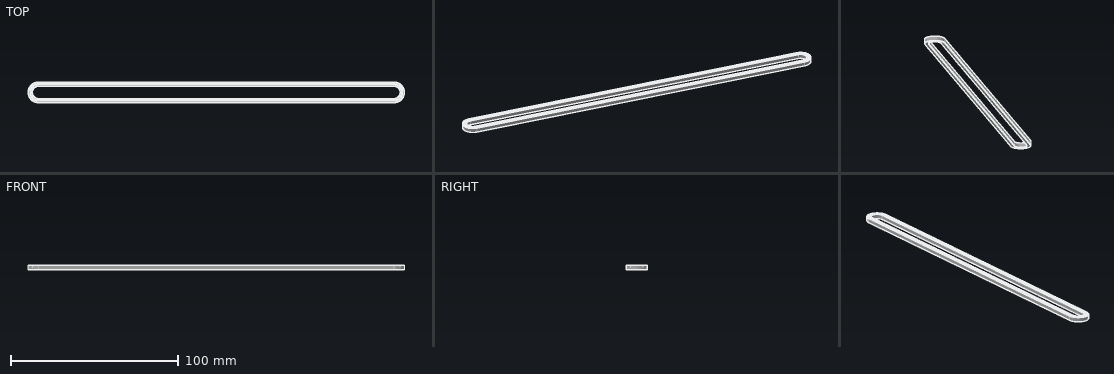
import cadquery as cq


overall_length = 225.0
overall_width = 12.5
height = 3.2
wall = 2.7
edge_chamfer = 0.32
groove_width = 0.56
groove_depth = 0.2


def racetrack(inset, bottom, thickness):
    """Solid racetrack whose outline lies `inset` inside the outer outline."""
    return (
        cq.Workplane("XY", origin=(0, 0, bottom))
        .slot2D(overall_length - 2 * inset, overall_width - 2 * inset)
        .extrude(thickness)
    )


def racetrack_ring(outer_inset, inner_inset, bottom, thickness):
    """Ring of constant wall between two racetrack outlines."""
    outer = racetrack(outer_inset, bottom, thickness)
    inner = racetrack(inner_inset, bottom, thickness)
    return outer.cut(inner)


body = racetrack_ring(0, wall, -height / 2, height)
body = body.faces("|Z").edges().chamfer(edge_chamfer)

groove_inset = (wall - groove_width) / 2
groove = racetrack_ring(
    groove_inset,
    groove_inset + groove_width,
    height / 2 - groove_depth,
    groove_depth,
)

result = body.cut(groove)